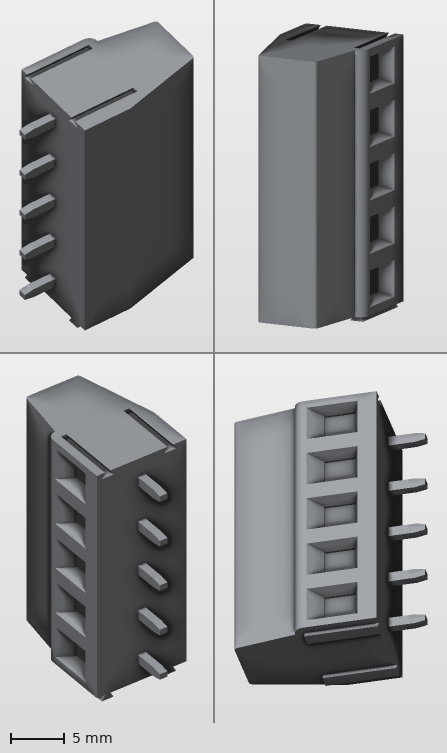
import cadquery as cq
import math

height = 26.0
width = 10.2
pin_length = 3.5
total_depth = 17.6
depth = total_depth - pin_length

dovetail_depth = 0.6
dovetail_neck = 0.62
dovetail_length = 7.07
dovetail_flank_angle = 30.0
dovetail_base = dovetail_neck + 2 * dovetail_depth * math.tan(math.radians(dovetail_flank_angle))
dovetail_positions = (1.22, 8.35)

upper_poles = 3
lower_poles = 2
pitch = (height - dovetail_depth) / (upper_poles + lower_poles)

crown_left = 1.87
crown_right = 7.9
crown_radius = 0.3
left_wall_length = dovetail_length
shoulder_radius = 0.94
right_wall_length = 5.2

pocket_height = 3.5
pocket_front = 1.82
pocket_back = 6.7
pocket_floor_margin = 0.47
pocket_back_margin = 1.45
pocket_side_margin = 0.45
pocket_taper_depth = 1.2
pocket_straight_depth = 0.2

pin_width = 0.85
pin_height = 1.0
pin_tip_height = 0.62
pin_tip_length = 1.0


def block_body(poles, bottom):
    """Prism with the block outline, tall enough for the given number of poles."""
    shoulder_top = left_wall_length + shoulder_radius
    arc_offset = shoulder_radius * (1 - math.cos(math.radians(45)))
    body = (
        cq.Workplane("XY", origin=(0, 0, bottom))
        .lineTo(width, 0)
        .lineTo(width, right_wall_length)
        .lineTo(crown_right, depth)
        .lineTo(crown_left, depth)
        .lineTo(shoulder_radius, shoulder_top)
        .threePointArc((arc_offset, shoulder_top - arc_offset), (0, left_wall_length))
        .close()
        .extrude(poles * pitch)
    )
    return body.edges("|Z").edges(">Y").fillet(crown_radius)


def dovetails(top):
    """Pair of dovetail bars that hang below the level top and widen downwards."""
    profile = [
        (-dovetail_neck / 2, 0),
        (dovetail_neck / 2, 0),
        (dovetail_base / 2, -dovetail_depth),
        (-dovetail_base / 2, -dovetail_depth),
    ]
    bars = cq.Workplane("XY")
    for x in dovetail_positions:
        bar = cq.Workplane("XZ", origin=(x, 0, top)).polyline(profile).close().extrude(-dovetail_length)
        bars = bars.add(bar)
    return bars.combine()


def wire_pocket(middle):
    """Pocket that narrows from the left face inwards, then runs straight to a flat end."""
    inner_front = pocket_front + pocket_floor_margin
    inner_back = pocket_back - pocket_back_margin
    inner_size = (inner_back - inner_front, pocket_height - 2 * pocket_side_margin)
    mouth_y = (pocket_front + pocket_back) / 2
    inner_y = (inner_front + inner_back) / 2
    taper = (
        cq.Workplane("YZ", origin=(0, mouth_y, middle))
        .rect(pocket_back - pocket_front, pocket_height)
        .workplane(offset=pocket_taper_depth)
        .center(inner_y - mouth_y, 0)
        .rect(*inner_size)
        .loft(ruled=True)
    )
    straight = (
        cq.Workplane("YZ", origin=(pocket_taper_depth, inner_y, middle))
        .rect(*inner_size)
        .extrude(pocket_straight_depth)
    )
    return taper.union(straight)


def solder_pin(middle):
    """Flat pin below the Y = 0 face, with a tip that tapers in height."""
    shank_end = pin_tip_length - pin_length
    profile = [
        (0, -pin_height / 2),
        (shank_end, -pin_height / 2),
        (-pin_length, -pin_tip_height / 2),
        (-pin_length, pin_tip_height / 2),
        (shank_end, pin_height / 2),
        (0, pin_height / 2),
    ]
    pin_left = (width - pin_width) / 2
    return cq.Workplane("YZ", origin=(pin_left, 0, middle)).polyline(profile).close().extrude(pin_width)


def terminal_block(poles, bottom):
    """One block: grooves on its top, dovetails under it, a pocket and a pin for each pole."""
    block = block_body(poles, bottom)
    block = block.cut(dovetails(bottom + poles * pitch))
    block = block.union(dovetails(bottom))
    for pole in range(poles):
        middle = bottom + (pole + 0.5) * pitch
        block = block.cut(wire_pocket(middle))
        block = block.union(solder_pin(middle))
    return block


lower_block = terminal_block(lower_poles, 0)
upper_block = terminal_block(upper_poles, lower_poles * pitch)

result = cq.Compound.makeCompound([lower_block.val(), upper_block.val()])